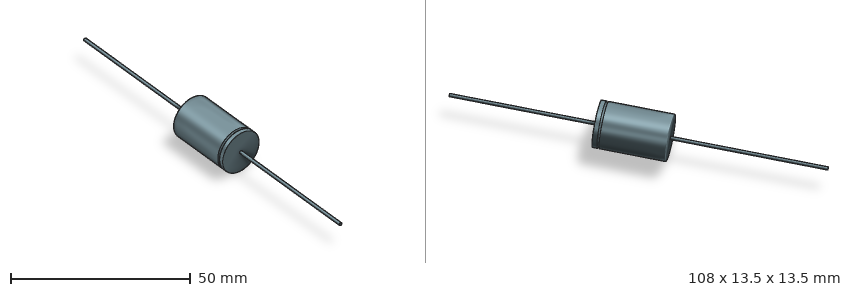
import cadquery as cq

total_length = 108.0
lead_diameter = 1.0
left_lead_length = 44.9
body_length = 21.0
body_diameter = 13.5
left_edge_radius = 0.3

groove_radius = 0.3
groove_to_end = 1.7

body_left = -total_length / 2 + left_lead_length
body_right = body_left + body_length
groove_x = body_right - groove_to_end


def cylinder_along_x(start, length, diameter):
    """Solid cylinder on the X axis, running towards +X."""
    return cq.Workplane("YZ", origin=(start, 0, 0)).circle(diameter / 2).extrude(length)


def groove_ring():
    """Ring of round section centred on the body surface."""
    return (
        cq.Workplane("XY")
        .center(groove_x, body_diameter / 2)
        .circle(groove_radius)
        .revolve(360, (0, -body_diameter / 2), (1, -body_diameter / 2))
    )


body = cylinder_along_x(body_left, body_length, body_diameter)
body = body.faces("<X").edges().fillet(left_edge_radius)
body = body.cut(groove_ring())

lead = cylinder_along_x(-total_length / 2, total_length, lead_diameter)

result = body.union(lead)